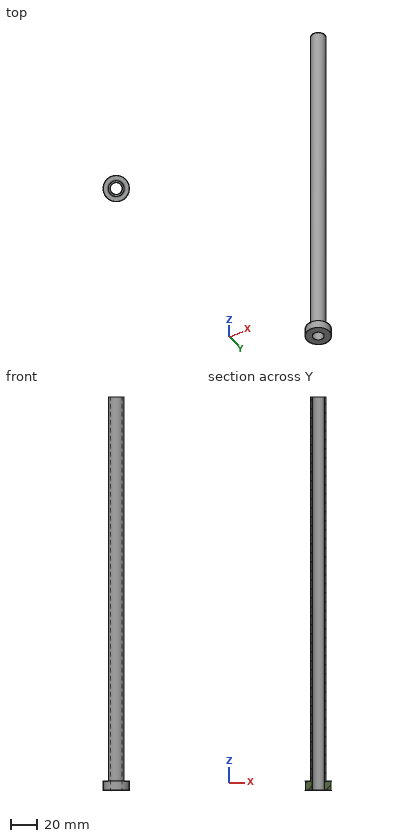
import cadquery as cq

length = 300.0
head_diameter = 20.0
head_height = 7.0
tube_diameter = 12.0
bore_diameter = 9.0
neck_fillet = 0.5

head = cq.Workplane("XY").circle(head_diameter / 2).extrude(head_height)
tube = cq.Workplane("XY").circle(tube_diameter / 2).extrude(length)
body = head.union(tube)


def at_neck(diameter):
    """Small box selector around the circle where the tube meets the head."""
    reach = diameter / 2 + neck_fillet
    low = (-reach, -reach, head_height - neck_fillet)
    high = (reach, reach, head_height + neck_fillet)
    return cq.selectors.BoxSelector(low, high, boundingbox=True)


body = body.edges(at_neck(tube_diameter)).fillet(neck_fillet)

bore = cq.Workplane("XY").circle(bore_diameter / 2).extrude(length)
result = body.cut(bore)